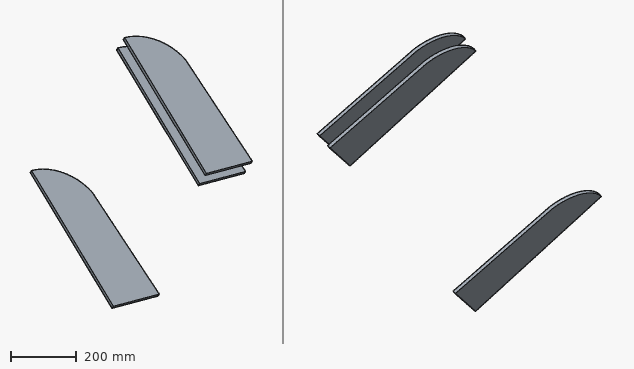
import cadquery as cq
import math

plate_length = 521.0
foot_width = 176.5
shoulder_along = 127.0
shoulder_width = 158.0
plate_thickness = 11.5

slope_angle = 38.1
heading_angle = 6.6

low_corner = (-412.0, -150.0, 110.0)
middle_rise = (393.0, 71.5, 509.0)
stack_pitch = 55.0

nose_radius = (shoulder_along**2 + shoulder_width**2) / (2 * shoulder_along)
nose_sweep = math.atan2(shoulder_width, nose_radius - shoulder_along)
nose_middle = (
    nose_radius * (1 - math.cos(nose_sweep / 2)),
    nose_radius * math.sin(nose_sweep / 2),
)


def plate_plane(corner):
    """Plane of a plate's upper face: local X runs down the slope, local Y is level."""
    return cq.Plane(origin=corner).rotated((0, 0, heading_angle)).rotated((0, slope_angle, 0))


def make_plate(corner):
    """Flat plate with a rounded nose and a slightly tapered body."""
    return (
        cq.Workplane(plate_plane(corner))
        .lineTo(plate_length, 0)
        .lineTo(plate_length, foot_width)
        .lineTo(shoulder_along, shoulder_width)
        .threePointArc(nose_middle, (0, 0))
        .close()
        .extrude(-plate_thickness)
    )


middle_corner = cq.Vector(*low_corner) + cq.Vector(*middle_rise)
top_corner = middle_corner + plate_plane(middle_corner).zDir * stack_pitch
plate_corners = [cq.Vector(*low_corner), middle_corner, top_corner]
plates = [make_plate(corner) for corner in plate_corners]

result = cq.Compound.makeCompound([plate.val() for plate in plates])